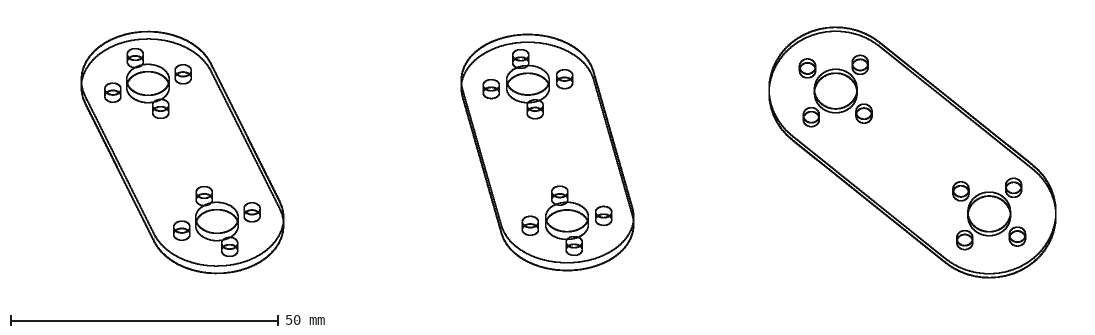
import cadquery as cq

length = 63.0
width = 25.0
thickness = 2.0

bore_diameter = 8.0
screw_diameter = 3.0
screw_circle_radius = 7.0
screws_per_end = 4

end_spacing = length - width
end_centers = [(-end_spacing / 2, 0), (end_spacing / 2, 0)]


def make_plate():
    return cq.Workplane("XY").slot2D(length, width).extrude(thickness)


def cut_end_holes(body, center):
    """Cut a central bore and its ring of screw holes through the plate."""
    top = body.faces(">Z").workplane(origin=(*center, thickness))
    body = top.circle(bore_diameter / 2).cutThruAll()
    ring = body.faces(">Z").workplane(origin=(*center, thickness))
    ring = ring.polarArray(screw_circle_radius, 0, 360, screws_per_end)
    return ring.circle(screw_diameter / 2).cutThruAll()


result = make_plate()
for end_center in end_centers:
    result = cut_end_holes(result, end_center)